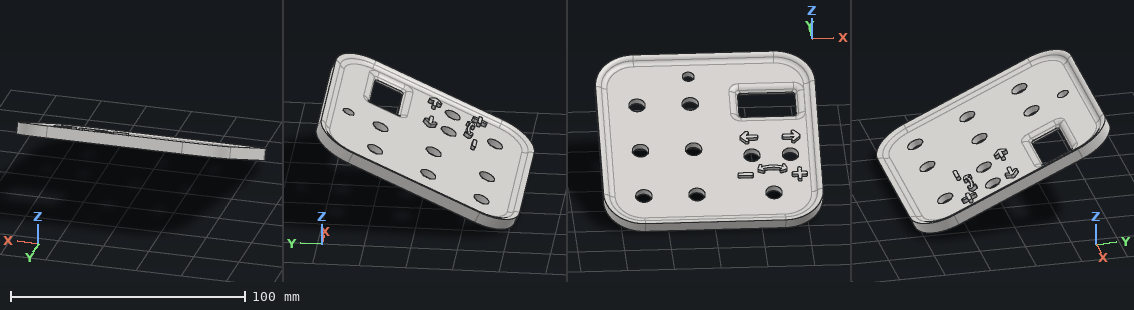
import cadquery as cq
import math

PLATE_SIDE = 94
PLATE_THICKNESS = 5.3
PLATE_CORNER_RADIUS = 17.0
TILT_ANGLE = 25

RIM_LAND = 0.1
RIM_HALF_RUN = 2.4
RIM_HALF_DROP = 1.0

CONTROL_AXIS_X = 25.9

WINDOW_CENTER = (CONTROL_AXIS_X, 20.7)
WINDOW_WIDTH = 32
WINDOW_HEIGHT = 20.7
WINDOW_CORNER_RADIUS = 4.2
WINDOW_EDGE_RUN = 2.8
WINDOW_EDGE_DROP = 1.1
WINDOW_BEVEL_RUN = 0.9

BUTTON_HOLE_DIAMETER = 7.0
ARROW_HOLE_DIAMETER = 6.9
LAMP_HOLE_DIAMETER = 5.0
BUTTON_COLUMNS = (-29.7, -7.0)
BUTTON_ROW_PITCH = 25.2
BUTTON_MIDDLE_ROW_Y = -4.6
ARROW_HOLE_Y = -8.8
ARROW_HOLE_SPACING = 16.45
LAMP_HOLE_Y = 35.7

SYMBOL_HEIGHT = 1.7
STROKE_WIDTH = 1.6
SIGN_LENGTH = 6.6
SIGN_OFFSET_X = 11.6
SIGN_Y = -20.7
ARROW_Y = 0.2
ARROW_LENGTH = 7.6
ARROW_OFFSET_X = 9.0
ARROW_BARB_LENGTH = 2.9
BARB_ANGLE = 45
CURVE_STROKE_WIDTH = 1.2
CURVE_HALF_CHORD = 5.6
CURVE_RISE = 1.2
CURVE_TOP_Y = -16.6
CURVE_BARB_LENGTH = 1.9

TOP_Z = PLATE_THICKNESS / 2
FLOOR_Z = TOP_Z - 2 * RIM_HALF_DROP


def rounded_block(width, height, thickness, corner_radius):
    """A block centred on the origin with rounded vertical edges."""
    return cq.Workplane("XY").box(width, height, thickness).edges("|Z").fillet(corner_radius)


def arc_radius(run, drop):
    """Radius of an arc that starts level and falls by the drop over the run."""
    return (run**2 + drop**2) / (2 * drop)


def rounded_edge(run, drop):
    """Start, middle and end (inward run, drop) of a convex arc that starts level."""
    radius = arc_radius(run, drop)
    middle_run = run / 2
    middle_drop = radius - math.sqrt(radius**2 - middle_run**2)
    return [(0, 0), (middle_run, middle_drop), (run, drop)]


def s_slope(half_run, half_drop):
    """A convex arc followed by its half-turn copy, which ends level on the floor."""
    convex = rounded_edge(half_run, half_drop)
    concave = [(2 * half_run - run, 2 * half_drop - drop) for run, drop in reversed(convex)]
    return convex + concave[1:]


def half_section(plane, half_width, slope):
    """Half of a dish's cross-section, from its middle line out to its edge.
    The slope lists arc points: a start, then a middle and an end for each arc."""
    points = [(half_width - run, -drop) for run, drop in slope]
    section = cq.Workplane(plane).lineTo(*points[0])
    for middle, end in zip(points[1::2], points[2::2]):
        section = section.threePointArc(middle, end)
    return section.lineTo(0, points[-1][1]).close()


def dish(width, height, corner_radius, slope):
    """A rounded rectangular dish-shaped cutter with its top face on Z = 0."""
    straight_x = width - 2 * corner_radius
    straight_y = height - 2 * corner_radius
    right_half = half_section("XZ", width / 2, slope).extrude(straight_y / 2, both=True)
    back_half = half_section("YZ", height / 2, slope).extrude(straight_x / 2, both=True)
    corner = half_section("XZ", corner_radius, slope).revolve(360, (0, 0, 0), (0, 1, 0))

    cutter = right_half.union(right_half.mirror("YZ"))
    cutter = cutter.union(back_half).union(back_half.mirror("XZ"))
    for side_x in (-1, 1):
        for side_y in (-1, 1):
            corner_center = (side_x * straight_x / 2, side_y * straight_y / 2, 0)
            cutter = cutter.union(corner.translate(corner_center))
    return cutter


def tray():
    """The flat plate with its recessed floor and sloping rim."""
    plate = rounded_block(PLATE_SIDE, PLATE_SIDE, PLATE_THICKNESS, PLATE_CORNER_RADIUS)
    recess_side = PLATE_SIDE - 2 * RIM_LAND
    slope = s_slope(RIM_HALF_RUN, RIM_HALF_DROP)
    recess = dish(recess_side, recess_side, PLATE_CORNER_RADIUS - RIM_LAND, slope)
    return plate.cut(recess.translate((0, 0, TOP_Z)))


def window_outline(margin):
    """The window's outline drawn in by the margin, with the corner radius left at the rounded edge."""
    outline = cq.Sketch().rect(WINDOW_WIDTH - 2 * margin, WINDOW_HEIGHT - 2 * margin)
    return outline.vertices().fillet(WINDOW_CORNER_RADIUS - WINDOW_EDGE_RUN)


def window():
    """Cutter for the display window: rounded edge, bevel and the opening through the floor."""
    edge = rounded_edge(WINDOW_EDGE_RUN, WINDOW_EDGE_DROP)
    edge_slope = 2 * math.atan2(WINDOW_EDGE_DROP, WINDOW_EDGE_RUN)
    bevel_drop = WINDOW_BEVEL_RUN * math.tan(edge_slope)
    bevel_top = window_outline(WINDOW_EDGE_RUN)
    opening = window_outline(WINDOW_EDGE_RUN + WINDOW_BEVEL_RUN)
    bevel_bottom = opening.moved(cq.Location(cq.Vector(0, 0, -bevel_drop)))

    cutter = dish(WINDOW_WIDTH, WINDOW_HEIGHT, WINDOW_CORNER_RADIUS, edge)
    bevel = cq.Workplane("XY").placeSketch(bevel_top, bevel_bottom).loft()
    cutter = cutter.union(bevel.translate((0, 0, -WINDOW_EDGE_DROP)))
    cutter = cutter.union(cq.Workplane("XY").placeSketch(opening).extrude(-PLATE_THICKNESS))
    return cutter.translate((*WINDOW_CENTER, FLOOR_Z))


def through_holes(points, diameter):
    """Cutters for a set of equal holes through the plate."""
    return (
        cq.Workplane("XY")
        .pushPoints(points)
        .circle(diameter / 2)
        .extrude(PLATE_THICKNESS, both=True)
    )


def stroke(start, angle, length, width):
    """A raised straight stroke on the floor; the start is the centre of one round end and the
    length runs to the centre of the other."""
    return (
        cq.Workplane("XY")
        .center(length / 2, 0)
        .slot2D(length + width, width)
        .extrude(SYMBOL_HEIGHT)
        .rotate((0, 0, 0), (0, 0, 1), angle)
        .translate((*start, FLOOR_Z))
    )


def arrow_head(tip, shaft_angle, barb_length, width):
    """Two barbs leaving the tip on either side of the shaft direction."""
    upper = stroke(tip, shaft_angle + BARB_ANGLE, barb_length, width)
    lower = stroke(tip, shaft_angle - BARB_ANGLE, barb_length, width)
    return upper.union(lower)


def straight_arrow(side):
    """An arrow pointing away from the control axis; side is -1 for left and 1 for right."""
    shaft_length = ARROW_LENGTH - STROKE_WIDTH
    tip = (CONTROL_AXIS_X + side * (ARROW_OFFSET_X + shaft_length / 2), ARROW_Y)
    shaft_angle = 180 if side > 0 else 0
    shaft = stroke(tip, shaft_angle, shaft_length, STROKE_WIDTH)
    return shaft.union(arrow_head(tip, shaft_angle, ARROW_BARB_LENGTH, STROKE_WIDTH))


def sign_bar(center_x, angle):
    """One bar of the minus or plus sign, centred on the sign."""
    length = SIGN_LENGTH - STROKE_WIDTH
    turn = math.radians(angle)
    start = (center_x - length / 2 * math.cos(turn), SIGN_Y - length / 2 * math.sin(turn))
    return stroke(start, angle, length, STROKE_WIDTH)


def curved_arrow():
    """An arched stroke with an arrow head at each end."""
    radius = arc_radius(CURVE_HALF_CHORD, CURVE_RISE)
    end_angle = math.asin(CURVE_HALF_CHORD / radius)
    center_y = CURVE_TOP_Y - radius

    def on_arc(distance, angle):
        return (
            CONTROL_AXIS_X + distance * math.sin(angle),
            center_y + distance * math.cos(angle),
        )

    outer = radius + CURVE_STROKE_WIDTH / 2
    inner = radius - CURVE_STROKE_WIDTH / 2
    symbol = (
        cq.Workplane("XY", origin=(0, 0, FLOOR_Z))
        .moveTo(*on_arc(outer, -end_angle))
        .threePointArc(on_arc(outer, 0), on_arc(outer, end_angle))
        .lineTo(*on_arc(inner, end_angle))
        .threePointArc(on_arc(inner, 0), on_arc(inner, -end_angle))
        .close()
        .extrude(SYMBOL_HEIGHT)
    )
    slope_angle = math.degrees(end_angle)
    for tip_angle, shaft_angle in ((-end_angle, slope_angle), (end_angle, 180 - slope_angle)):
        tip = on_arc(radius, tip_angle)
        head = arrow_head(tip, shaft_angle, CURVE_BARB_LENGTH, CURVE_STROKE_WIDTH)
        symbol = symbol.union(head)
    return symbol


button_rows = [BUTTON_MIDDLE_ROW_Y + step * BUTTON_ROW_PITCH for step in (-1, 0, 1)]
button_points = [(x, y) for x in BUTTON_COLUMNS for y in button_rows]
button_points.append((CONTROL_AXIS_X, button_rows[0]))
arrow_hole_points = [(CONTROL_AXIS_X + side * ARROW_HOLE_SPACING / 2, ARROW_HOLE_Y) for side in (-1, 1)]
lamp_point = (BUTTON_COLUMNS[1], LAMP_HOLE_Y)

part = tray().cut(window())
part = part.cut(through_holes(button_points, BUTTON_HOLE_DIAMETER))
part = part.cut(through_holes(arrow_hole_points, ARROW_HOLE_DIAMETER))
part = part.cut(through_holes([lamp_point], LAMP_HOLE_DIAMETER))

symbols = [
    straight_arrow(-1),
    straight_arrow(1),
    sign_bar(CONTROL_AXIS_X - SIGN_OFFSET_X, 0),
    sign_bar(CONTROL_AXIS_X + SIGN_OFFSET_X, 0),
    sign_bar(CONTROL_AXIS_X + SIGN_OFFSET_X, 90),
    curved_arrow(),
]
for symbol in symbols:
    part = part.union(symbol)

result = part.rotate((0, 0, 0), (1, 0, 0), TILT_ANGLE)